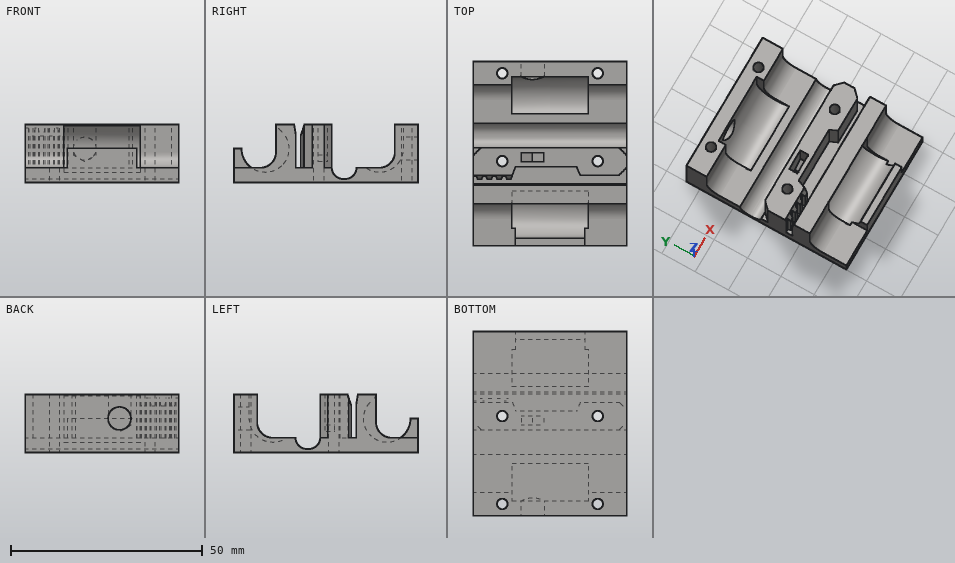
import cadquery as cq
import math

LENGTH = 40.0
DEPTH = 48.0
HEIGHT = 15.15
FLOOR = 3.95
END_X = LENGTH / 2

BACK_WALL_Y = 41.9
BLOCK_BACK_Y = 25.55
BLOCK_FRONT_Y = 18.4
RIB_BACK_Y = 16.2
RIB_FRONT_Y = 10.95
RIB_TAPER_WIDTH = 0.45
RIB_TAPER_Z = 12.5
ROD_RADIUS = 4.0

GROOVE_BACK_Y = 31.9
GROOVE_RADIUS = 2.95
GROOVE_BOTTOM = FLOOR - GROOVE_RADIUS

SEAT_LENGTH = 20.0
SEAT_RADIUS = 6.15
SEAT_AXIS_Z = 8.95
REAR_SEAT_Y = BACK_WALL_Y - ROD_RADIUS
FRONT_SEAT_Y = 8.15
LIP_LENGTH = 18.1
LIP_TOP = 9.0

CORNER_CHAMFER = 2.0
NOTCH_BACK_Y = 20.6
NOTCH_LEFT_X = -9.0
NOTCH_RIGHT_X = 6.9
NOTCH_SLANT = 0.95
TOOTH_ROOT_Y = 18.1
TOOTH_TIP_Y = 17.4
TOOTH_COUNT = 4
TOOTH_PITCH = 2.55
LAST_TOOTH_X = -10.7
TOOTH_ROOT_WIDTH = 1.7
TOOTH_TIP_WIDTH = 1.05
LEAD_IN_Z = 12.25

SCREW_DIAMETER = 2.7
SCREW_X = 12.45
SCREW_ROWS_Y = (22.05, 44.95)
NUT_X = -4.55
NUT_AXIS_Z = SEAT_AXIS_Z
NUT_WIDTH = 5.8
NUT_THICKNESS = 2.4
NUT_Y = 23.1
ACCESS_DIAMETER = 6.0

OVERCUT = 2.4


def prism_along_x(sketch, length):
    """Extrude a closed YZ sketch, centred about X = 0."""
    return sketch.close().extrude(length / 2, both=True)


def rod_corner(sketch, wall_y):
    """Draw down a wall and around the quarter arc onto the floor toward -Y."""
    bend = ROD_RADIUS * math.sqrt(0.5)
    centre_y = wall_y - ROD_RADIUS
    centre_z = FLOOR + ROD_RADIUS
    return sketch.lineTo(wall_y, centre_z).threePointArc(
        (centre_y + bend, centre_z - bend), (centre_y, FLOOR)
    )


def make_base():
    """Floor, rear wall and front rib, with the rounded groove in the floor."""
    bend = GROOVE_RADIUS * (1 - math.sqrt(0.5))
    outline = cq.Workplane("YZ").polyline(
        [(0, 0), (DEPTH, 0), (DEPTH, HEIGHT), (BACK_WALL_Y, HEIGHT)]
    )
    outline = rod_corner(outline, BACK_WALL_Y)
    outline = (
        outline.lineTo(GROOVE_BACK_Y, FLOOR)
        .threePointArc(
            (GROOVE_BACK_Y - bend, GROOVE_BOTTOM + bend),
            (GROOVE_BACK_Y - GROOVE_RADIUS, GROOVE_BOTTOM),
        )
        .lineTo(BLOCK_BACK_Y + GROOVE_RADIUS, GROOVE_BOTTOM)
        .threePointArc((BLOCK_BACK_Y + bend, GROOVE_BOTTOM + bend), (BLOCK_BACK_Y, FLOOR))
        .lineTo(RIB_BACK_Y, FLOOR)
        .lineTo(RIB_BACK_Y, RIB_TAPER_Z)
        .lineTo(RIB_BACK_Y - RIB_TAPER_WIDTH, HEIGHT)
        .lineTo(RIB_FRONT_Y, HEIGHT)
    )
    outline = rod_corner(outline, RIB_FRONT_Y).lineTo(0, FLOOR)
    return prism_along_x(outline, LENGTH)


def make_lip():
    """Low front wall that closes the front bearing seat."""
    return cq.Workplane("XY").box(
        LIP_LENGTH, FRONT_SEAT_Y, LIP_TOP, centered=(True, False, False)
    )


def seat_cylinder(axis_y):
    """Round bore of a bearing seat, centred about X = 0."""
    return (
        cq.Workplane("YZ")
        .center(axis_y, SEAT_AXIS_Z)
        .circle(SEAT_RADIUS)
        .extrude(SEAT_LENGTH / 2, both=True)
    )


def make_rear_seat():
    """Seat opened straight upward to its full diameter."""
    opening = cq.Workplane("XY").box(
        SEAT_LENGTH, 2 * SEAT_RADIUS, HEIGHT, centered=(True, True, False)
    )
    return seat_cylinder(REAR_SEAT_Y).union(opening.translate((0, REAR_SEAT_Y, SEAT_AXIS_Z)))


def make_front_seat():
    """Cylinder with a 45 degree peak, so the overhang in the rib is self-supporting."""
    tangent = SEAT_RADIUS * math.sqrt(0.5)
    peak = prism_along_x(
        cq.Workplane("YZ")
        .center(FRONT_SEAT_Y, SEAT_AXIS_Z)
        .polyline([(0, 0), (tangent, tangent), (0, 2 * tangent), (-tangent, tangent)]),
        SEAT_LENGTH,
    )
    return seat_cylinder(FRONT_SEAT_Y).union(peak)


def make_tooth(centre_x):
    root = TOOTH_ROOT_WIDTH / 2
    tip = TOOTH_TIP_WIDTH / 2
    return (
        cq.Workplane("XY")
        .polyline(
            [
                (centre_x - root, BLOCK_FRONT_Y),
                (centre_x - root, TOOTH_ROOT_Y),
                (centre_x - tip, TOOTH_TIP_Y),
                (centre_x + tip, TOOTH_TIP_Y),
                (centre_x + root, TOOTH_ROOT_Y),
                (centre_x + root, BLOCK_FRONT_Y),
            ]
        )
        .close()
        .extrude(HEIGHT)
    )


def make_clamp_block():
    """Belt clamp block with a front notch, belt teeth and a sloped belt lead-in."""
    block = (
        cq.Workplane("XY")
        .polyline(
            [
                (-END_X, TOOTH_ROOT_Y),
                (NOTCH_LEFT_X - NOTCH_SLANT, TOOTH_ROOT_Y),
                (NOTCH_LEFT_X, NOTCH_BACK_Y),
                (NOTCH_RIGHT_X, NOTCH_BACK_Y),
                (NOTCH_RIGHT_X + NOTCH_SLANT, BLOCK_FRONT_Y),
                (END_X - CORNER_CHAMFER, BLOCK_FRONT_Y),
                (END_X, BLOCK_FRONT_Y + CORNER_CHAMFER),
                (END_X, BLOCK_BACK_Y - CORNER_CHAMFER),
                (END_X - CORNER_CHAMFER, BLOCK_BACK_Y),
                (-END_X + CORNER_CHAMFER, BLOCK_BACK_Y),
                (-END_X, BLOCK_BACK_Y - CORNER_CHAMFER),
            ]
        )
        .close()
        .extrude(HEIGHT)
    )
    for index in range(TOOTH_COUNT):
        block = block.union(make_tooth(LAST_TOOTH_X - index * TOOTH_PITCH))
    lead_in = prism_along_x(
        cq.Workplane("YZ").polyline(
            [
                (BLOCK_FRONT_Y, HEIGHT),
                (TOOTH_TIP_Y, LEAD_IN_Z),
                (TOOTH_TIP_Y, HEIGHT),
            ]
        ),
        LENGTH,
    )
    below_floor = cq.Workplane("XY").box(LENGTH, DEPTH, FLOOR, centered=(True, False, False))
    return block.cut(lead_in).cut(below_floor)


def make_nut_pocket():
    """Hexagonal nut slot with a pointed bottom, open at the top."""
    half = NUT_WIDTH / 2
    point_z = NUT_AXIS_Z - NUT_WIDTH / math.sqrt(3)
    shoulder_z = NUT_AXIS_Z - half / math.sqrt(3)
    return (
        cq.Workplane("XZ", origin=(NUT_X, NUT_Y, 0))
        .polyline(
            [
                (0, point_z),
                (half, shoulder_z),
                (half, HEIGHT + OVERCUT),
                (-half, HEIGHT + OVERCUT),
                (-half, shoulder_z),
            ]
        )
        .close()
        .extrude(NUT_THICKNESS / 2, both=True)
    )


def make_access_hole():
    """Hole along Y through the rear wall, in line with the nut pocket."""
    return (
        cq.Workplane("XZ", origin=(NUT_X, DEPTH + OVERCUT, NUT_AXIS_Z))
        .circle(ACCESS_DIAMETER / 2)
        .extrude(DEPTH + OVERCUT - REAR_SEAT_Y)
    )


def make_screw_holes():
    centres = [(side * SCREW_X, y) for side in (-1, 1) for y in SCREW_ROWS_Y]
    return cq.Workplane("XY").pushPoints(centres).circle(SCREW_DIAMETER / 2).extrude(HEIGHT)


result = (
    make_base()
    .union(make_lip())
    .cut(make_rear_seat())
    .cut(make_front_seat())
    .union(make_clamp_block())
    .cut(make_nut_pocket())
    .cut(make_access_hole())
    .cut(make_screw_holes())
)